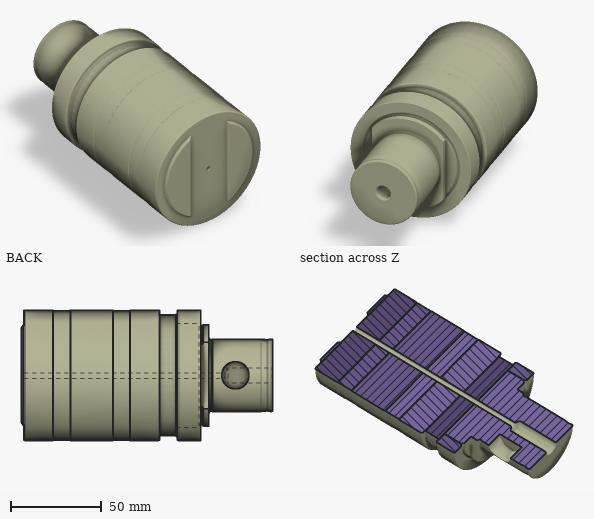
import cadquery as cq
import math

body_radius = 36.0
rim_rounding = 0.8
joint_chamfer = 0.3
through_hole_radius = 1.55
overall_length = 139.0

collar_start = 35.3
flange_start = 39.8
flange_end = 52.8
neck_end = 62.5
front_band_start, front_band_end = 79.0, 88.2
rear_band_start, rear_band_end = 112.0, 121.3
rear_face = 137.5

shank_radius = 20.0
shank_rounding = 1.0
shank_dip = 0.35
dip_lead_in = 1.2
dip_start, dip_end = 2.9, 3.3
dip_runout = 6.7
undercut_depth = 0.3
undercut_start = 33.1
undercut_floor_start = 34.0
root_fillet = 1.2
collar_radius = 28.0
collar_end = 38.4
collar_flat_half_width = 21.15
relief_radius = 27.3
relief_taper_length = 0.5
relief_start = collar_end + relief_taper_length
spigot_radius = 28.7
spigot_fillet = 1.1
spigot_start = flange_start + spigot_fillet

bore_radius = 4.2
bore_chamfer = 0.5
bore_depth = 25.0
drill_point_angle = 118.0

cross_hole_radius = 7.5
cross_hole_x = 20.7
cross_hole_floor_y = 10.0

flange_front_rounding = 0.4
flange_bore_rounding = 1.1
neck_radius = 33.4
neck_root_width = 0.9
neck_root_height = 0.6

band_step = 0.2
band_radius = body_radius - band_step

lug_outer_radius = 30.1
lug_inner_y = 12.2
lug_chamfer = 1.1


def turned(profile):
    """Revolve a closed profile of (x, radius) points about the X axis."""
    return cq.Workplane("XY").polyline(profile).close().revolve(360, (0, 0, 0), (1, 0, 0))


def rims(body, x, radius):
    """Circular edges of a turned body that lie at x and have the given radius."""
    tolerance = 1e-4
    picked = []
    for edge in body.edges("%CIRCLE").vals():
        at_station = abs(edge.Center().x - x) < tolerance
        if at_station and abs(edge.radius() - radius) < tolerance:
            picked.append(edge)
    return body.newObject(picked)


def ring(start, end, outer_radius):
    """A disc from start to end along X, with the central hole."""
    disc = cq.Workplane("YZ", origin=(start, 0, 0)).circle(outer_radius)
    return disc.circle(through_hole_radius).extrude(end - start)


def make_stud():
    """Shank, flatted collar and the spigot inside the flange, as one turned piece."""
    undercut_radius = shank_radius - undercut_depth
    dip_radius = shank_radius - shank_dip
    drill_point_length = (bore_radius - through_hole_radius) / math.tan(math.radians(drill_point_angle / 2))
    stud = turned([
        (0, bore_radius + bore_chamfer),
        (0, shank_radius),
        (dip_lead_in, shank_radius),
        (dip_start, dip_radius),
        (dip_end, dip_radius),
        (dip_runout, shank_radius),
        (undercut_start, shank_radius),
        (undercut_floor_start, undercut_radius),
        (collar_start, undercut_radius),
        (collar_start, collar_radius),
        (collar_end, collar_radius),
        (relief_start, relief_radius),
        (spigot_start, relief_radius),
        (spigot_start, spigot_radius),
        (flange_end, spigot_radius),
        (flange_end, through_hole_radius),
        (bore_depth + drill_point_length, through_hole_radius),
        (bore_depth, bore_radius),
        (bore_chamfer, bore_radius),
    ])
    stud = rims(stud, 0, shank_radius).fillet(shank_rounding)
    stud = rims(stud, collar_start, undercut_radius).fillet(root_fillet)
    stud = rims(stud, spigot_start, relief_radius).fillet(spigot_fillet)

    flat_length = flange_start - collar_start
    flat_depth = collar_radius - collar_flat_half_width
    for side in (-1, 1):
        flat_cut = cq.Workplane("XY").box(flat_length, flat_depth, 2 * collar_radius).translate(
            (collar_start + flat_length / 2, side * (collar_flat_half_width + flat_depth / 2), 0)
        )
        stud = stud.cut(flat_cut)

    cross_hole = cq.Workplane("XZ", origin=(cross_hole_x, cross_hole_floor_y, 0))
    cross_hole = cross_hole.circle(cross_hole_radius).extrude(cross_hole_floor_y - shank_radius)
    return stud.cut(cross_hole)


def make_flange():
    """Ring around the stud spigot, its outer rims and bore mouth rounded."""
    flange = turned([
        (flange_start, spigot_radius),
        (flange_start, body_radius),
        (flange_end, body_radius),
        (flange_end, spigot_radius),
    ])
    flange = rims(flange, flange_start, spigot_radius).fillet(flange_bore_rounding)
    flange = rims(flange, flange_start, body_radius).fillet(flange_front_rounding)
    return rims(flange, flange_end, body_radius).fillet(rim_rounding)


def make_neck():
    """Disc between flange and front section, flared where it meets the flange."""
    return turned([
        (flange_end, through_hole_radius),
        (flange_end, neck_radius + neck_root_height),
        (flange_end + neck_root_width, neck_radius),
        (neck_end, neck_radius),
        (neck_end, through_hole_radius),
    ])


def make_section(start, end):
    """Full-diameter body section: free rims are rounded, rims next to a band are chamfered."""
    section = ring(start, end, body_radius)
    for x in (start, end):
        rim = rims(section, x, body_radius)
        if x in (neck_end, rear_face):
            section = rim.fillet(rim_rounding)
        else:
            section = rim.chamfer(joint_chamfer)
    return section


def make_band(start, end):
    """Plain band between two body sections."""
    return ring(start, end, band_radius)


def make_lug(side):
    """Circular-segment lug on the rear face, at +Y (side = 1) or -Y (side = -1)."""
    corner_z = math.sqrt(lug_outer_radius**2 - lug_inner_y**2)
    lug = (
        cq.Workplane("YZ", origin=(rear_face, 0, 0))
        .moveTo(side * lug_inner_y, -corner_z)
        .threePointArc((side * lug_outer_radius, 0), (side * lug_inner_y, corner_z))
        .close()
        .extrude(overall_length - rear_face)
    )
    return lug.faces(">X").edges().chamfer(lug_chamfer)


stud = make_stud()
flange = make_flange()
neck = make_neck()

section_spans = [
    (neck_end, front_band_start),
    (front_band_end, rear_band_start),
    (rear_band_end, rear_face),
]
sections = [make_section(start, end) for start, end in section_spans]

band_spans = [(front_band_start, front_band_end), (rear_band_start, rear_band_end)]
bands = [make_band(start, end) for start, end in band_spans]

lugs = [make_lug(side) for side in (-1, 1)]

bodies = [stud, flange, neck, *sections, *bands, *lugs]
result = cq.Compound.makeCompound([body.val() for body in bodies])